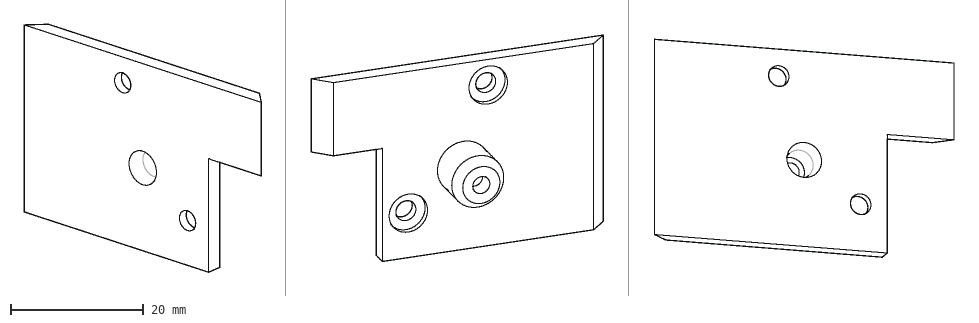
import cadquery as cq


plate_length = 47.23
plate_thickness = 2.6
plate_bottom = -13.5
plate_height = 30.5
notch_left = 13.1
notch_top = 5.0
end_bevel = plate_thickness

boss_diameter = 8.4
boss_tip_diameter = 6.0
boss_length = 7.5
boss_tip_length = 1.5

lead_in_diameter = 5.45
lead_in_depth = plate_thickness
recess_diameter = 4.4
recess_floor_thickness = 3.0
bore_diameter = 2.75

screw_hole_diameter = 3.2
counterbore_diameter = 6.2
counterbore_depth = 1.0
screw_hole_centers = [(-4.0, 12.8), (8.9, -6.2)]

overall_depth = plate_thickness + boss_length
plate_right = plate_length / 2
plate_left = -plate_right


def make_plate():
    """Plate with both ends sloped, narrowing towards the back, and a lower right notch."""
    section = [
        (plate_left, 0),
        (plate_right, 0),
        (plate_right - end_bevel, plate_thickness),
        (plate_left + end_bevel, plate_thickness),
    ]
    plate = (
        cq.Workplane("XY", origin=(0, 0, plate_bottom))
        .polyline(section)
        .close()
        .extrude(plate_height)
    )
    notch = cq.Workplane("XY").box(
        plate_right - notch_left,
        plate_thickness,
        notch_top - plate_bottom,
        centered=False,
    )
    return plate.cut(notch.translate((notch_left, 0, plate_bottom)))


def revolve_about_y(half_profile):
    """Solid of revolution about the Y axis from (radius, Y) points."""
    return cq.Workplane("XY").polyline(half_profile).close().revolve(360, (0, 0), (0, 1))


def make_boss():
    """Round boss with a tapered tip."""
    return revolve_about_y([
        (0, 0),
        (boss_diameter / 2, 0),
        (boss_diameter / 2, overall_depth - boss_tip_length),
        (boss_tip_diameter / 2, overall_depth),
        (0, overall_depth),
    ])


def make_stepped_hole():
    """Tapered lead-in from the front face, a cylindrical recess, then a plain bore."""
    recess_floor = overall_depth - recess_floor_thickness
    return revolve_about_y([
        (0, 0),
        (lead_in_diameter / 2, 0),
        (recess_diameter / 2, lead_in_depth),
        (recess_diameter / 2, recess_floor),
        (bore_diameter / 2, recess_floor),
        (bore_diameter / 2, overall_depth),
        (0, overall_depth),
    ])


def cut_screw_holes(plate):
    """Cut the counterbored holes into the back face of the plate."""
    back_face = cq.Workplane(cq.Plane((0, plate_thickness, 0), xDir=(1, 0, 0), normal=(0, 1, 0)))
    return (
        plate.copyWorkplane(back_face)
        .pushPoints([(x, -z) for x, z in screw_hole_centers])
        .cboreHole(screw_hole_diameter, counterbore_diameter, counterbore_depth)
    )


result = cut_screw_holes(make_plate()).union(make_boss()).cut(make_stepped_hole())